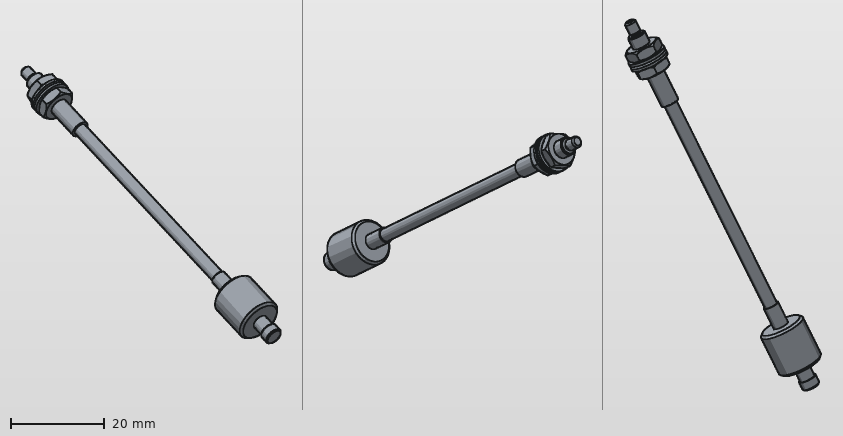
import cadquery as cq
import math

overall_length = 90.0

tip_radius = 1.3
tip_length = 2.7
tip_chamfer = 0.4
neck_radius = 1.0
barrel_start = 3.15
barrel_end = 20.0
barrel_radius = 2.0
barrel_chamfer = 0.3

nut_width = 7.0
nut_thickness = 2.3
nut_face_radius = 3.4
nut_bevel = 0.45
front_nut_start = 5.85
front_nut_angle = 10.5
rear_nut_angle = 41.5
washer_radius = 4.2
washer_thickness = 0.6
washer_gap = 0.5

cable_radius = 1.4

connector_start = 69.9
connector_radius = 1.7
plug_radius = 2.0
plug_length = 2.1
plug_chamfer = 0.3
drum_start = 74.9
drum_length = 10.0
drum_radius = 4.995
drum_chamfer = 0.5

front_washer_start = front_nut_start + nut_thickness
rear_washer_start = front_washer_start + washer_thickness + washer_gap
rear_nut_start = rear_washer_start + washer_thickness


def revolve_profile(points):
    """Solid of revolution about X from (x, radius) points."""
    return cq.Workplane("XY").polyline(points).close().revolve(360, (0, 0, 0), (1, 0, 0))


def cylinder(start, length, radius):
    return cq.Workplane("YZ", origin=(start, 0, 0)).circle(radius).extrude(length)


def make_probe():
    return revolve_profile([
        (0, 0),
        (0, tip_radius - tip_chamfer),
        (tip_chamfer, tip_radius),
        (tip_length, tip_radius),
        (tip_length, neck_radius),
        (barrel_start, neck_radius),
        (barrel_start, barrel_radius - barrel_chamfer),
        (barrel_start + barrel_chamfer, barrel_radius),
        (barrel_end, barrel_radius),
        (barrel_end, 0),
    ])


def make_nut(start, corner_angle):
    """Hexagon nut with its corners bevelled at both ends, bored for the barrel."""
    corner_radius = nut_width / 2 / math.cos(math.pi / 6)
    end = start + nut_thickness
    hexagon = (
        cq.Workplane("YZ", origin=(start, 0, 0))
        .polygon(6, 2 * corner_radius)
        .extrude(nut_thickness)
        .rotate((0, 0, 0), (1, 0, 0), -corner_angle)
    )
    bevel_envelope = revolve_profile([
        (start, 0),
        (start, nut_face_radius),
        (start + nut_bevel, corner_radius),
        (end - nut_bevel, corner_radius),
        (end, nut_face_radius),
        (end, 0),
    ])
    bore = cylinder(start, nut_thickness, barrel_radius)
    return hexagon.intersect(bevel_envelope).cut(bore)


def make_washer(start):
    bore = cylinder(start, washer_thickness, barrel_radius)
    return cylinder(start, washer_thickness, washer_radius).cut(bore)


def make_cable():
    return cylinder(barrel_end, connector_start - barrel_end, cable_radius)


def make_connector():
    """Round sleeve that runs through the drum and ends in a wider plug."""
    plug_start = overall_length - plug_length
    sleeve = cylinder(connector_start, plug_start - connector_start, connector_radius)
    plug = cylinder(plug_start, plug_length, plug_radius).faces(">X").chamfer(plug_chamfer)
    return sleeve.union(plug)


def make_drum():
    bore = cylinder(drum_start, drum_length, connector_radius)
    drum = cylinder(drum_start, drum_length, drum_radius).faces("<X or >X").chamfer(drum_chamfer)
    return drum.cut(bore)


probe = make_probe()
nut_places = [(front_nut_start, front_nut_angle), (rear_nut_start, rear_nut_angle)]
nuts = [make_nut(start, angle) for start, angle in nut_places]
washers = [make_washer(start) for start in (front_washer_start, rear_washer_start)]
cable = make_cable()
connector = make_connector()
drum = make_drum()

result = cq.Compound.makeCompound([
    probe.val(),
    *[nut.val() for nut in nuts],
    *[washer.val() for washer in washers],
    cable.val(),
    connector.val(),
    drum.val(),
])